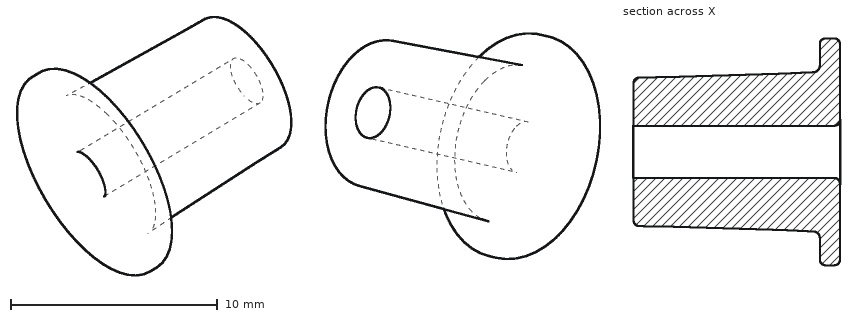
import cadquery as cq

flange_diameter = 11.0
flange_thickness = 1.0
total_length = 10.0
root_diameter = 7.74
tip_diameter = 7.19
bore_diameter = 2.5
edge_radius = 0.3

barrel_length = total_length - flange_thickness


def make_flange():
    """Disc extending from Y = 0 toward +Y, centred on the axis."""
    return cq.Workplane("XZ").circle(flange_diameter / 2).extrude(-flange_thickness)


def make_barrel():
    """Tapered barrel revolved from its half section about the Y axis."""
    half_section = (
        cq.Workplane("XY")
        .moveTo(0, flange_thickness)
        .lineTo(root_diameter / 2, flange_thickness)
        .line((tip_diameter - root_diameter) / 2, barrel_length)
        .lineTo(0, total_length)
        .close()
    )
    return half_section.revolve(360, (0, 0, 0), (0, 1, 0))


def make_bore():
    """Through bore along the axis."""
    return cq.Workplane("XZ").circle(bore_diameter / 2).extrude(-total_length)


body = make_flange().union(make_barrel())

body = body.edges("%CIRCLE").fillet(edge_radius)

body = body.cut(make_bore())
mouth = cq.selectors.RadiusNthSelector(0)
result = body.faces("<Y").edges(mouth).fillet(edge_radius)